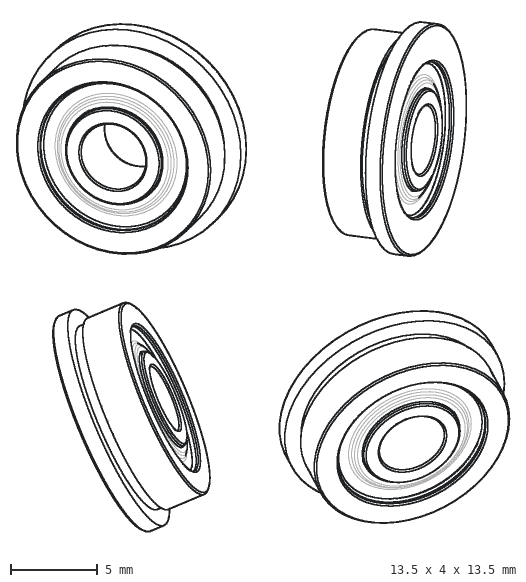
import cadquery as cq
import math


width = 4.0
ring_chamfer = 0.1

flange_radius = 6.75
flange_thickness = 1.0
body_radius = 6.0
relief_radius = 5.75
relief_width = 0.6
raceway_radius = 4.54

bore_radius = 2.0
shoulder_radius = 2.95

lip_depth = 0.23
bead_round = 0.12
web_depth = lip_depth + 2 * bead_round
step_outer_radius = 3.77
step_inner_radius = 3.31
step_cone_angle = math.radians(42)
lip_clearance = 0.04
lip_radius = shoulder_radius + lip_clearance


def revolve_about_axis(profile):
    """Turn a closed (radius, depth) profile about the Y axis."""
    return profile.close().revolve(360, (0, 0, 0), (0, 1, 0))


def make_outer_ring():
    flange_front = width - flange_thickness
    relief_front = flange_front - relief_width
    profile = (
        cq.Workplane("XY")
        .moveTo(raceway_radius + ring_chamfer, 0)
        .lineTo(body_radius - ring_chamfer, 0)
        .lineTo(body_radius, ring_chamfer)
        .lineTo(body_radius, relief_front)
        .lineTo(relief_radius, relief_front)
        .lineTo(relief_radius, flange_front)
        .lineTo(flange_radius, flange_front)
        .lineTo(flange_radius, width - ring_chamfer)
        .lineTo(flange_radius - ring_chamfer, width)
        .lineTo(raceway_radius + ring_chamfer, width)
        .lineTo(raceway_radius, width - ring_chamfer)
        .lineTo(raceway_radius, ring_chamfer)
    )
    return revolve_about_axis(profile)


def make_inner_ring():
    profile = (
        cq.Workplane("XY")
        .moveTo(bore_radius + ring_chamfer, 0)
        .lineTo(shoulder_radius - ring_chamfer, 0)
        .lineTo(shoulder_radius, ring_chamfer)
        .lineTo(shoulder_radius, width - ring_chamfer)
        .lineTo(shoulder_radius - ring_chamfer, width)
        .lineTo(bore_radius + ring_chamfer, width)
        .lineTo(bore_radius, width - ring_chamfer)
        .lineTo(bore_radius, ring_chamfer)
    )
    return revolve_about_axis(profile)


def make_shield_unit():
    step_run = step_outer_radius - step_inner_radius
    step_rise = web_depth - lip_depth
    run_slope = math.tan(step_cone_angle)
    step_round = (step_run * run_slope - step_rise) / (
        2 * (math.sin(step_cone_angle) * run_slope - 1 + math.cos(step_cone_angle))
    )
    arc_run = step_round * math.sin(step_cone_angle)
    arc_rise = step_round * (1 - math.cos(step_cone_angle))
    middle_run = step_round * math.sin(step_cone_angle / 2)
    middle_rise = step_round * (1 - math.cos(step_cone_angle / 2))

    half_section = (
        cq.Workplane("XY")
        .moveTo(shoulder_radius, width / 2)
        .lineTo(shoulder_radius, web_depth)
        .lineTo(lip_radius, web_depth)
        .lineTo(lip_radius, lip_depth)
        .lineTo(step_inner_radius, lip_depth)
        .threePointArc(
            (step_inner_radius + middle_run, lip_depth + middle_rise),
            (step_inner_radius + arc_run, lip_depth + arc_rise),
        )
        .lineTo(step_outer_radius - arc_run, web_depth - arc_rise)
        .threePointArc(
            (step_outer_radius - middle_run, web_depth - middle_rise),
            (step_outer_radius, web_depth),
        )
        .lineTo(raceway_radius, web_depth)
        .threePointArc(
            (raceway_radius - bead_round, lip_depth + bead_round),
            (raceway_radius, lip_depth),
        )
        .lineTo(raceway_radius, width / 2)
    )
    front_half = revolve_about_axis(half_section)
    back_half = front_half.mirror("XZ", (0, width / 2, 0))
    return front_half.union(back_half)


outer_ring = make_outer_ring()
inner_ring = make_inner_ring()
shield_unit = make_shield_unit()

result = cq.Compound.makeCompound([outer_ring.val(), inner_ring.val(), shield_unit.val()])